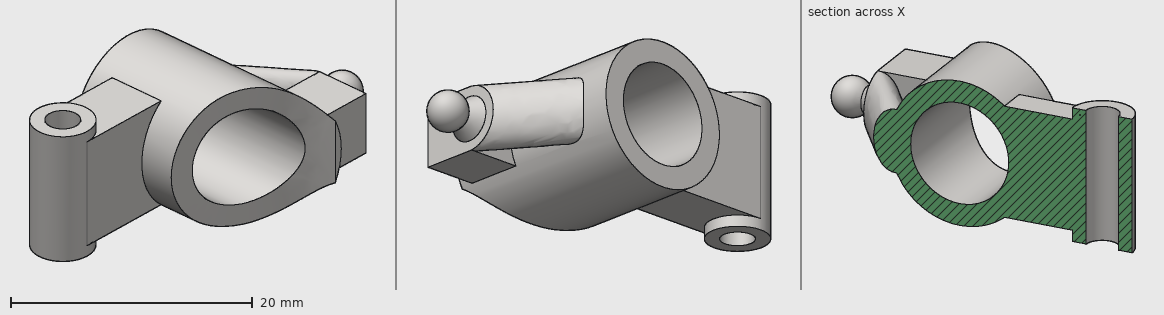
import cadquery as cq

overall_depth = 31

tube_length = 18.0
tube_diameter = 13.0
tube_radius = tube_diameter / 2
bore_radius = 4.5

end_cut_points = [
    (10.85, -tube_radius),
    (11.38, -4.5),
    (12.05, -2.23),
    (12.95, 0),
    (14.3, 2.6),
    (15.7, 4.4),
    (tube_length, 5.77),
]

hinge_x = 4.77
hinge_y = -13.15
barrel_radius = 2.75
barrel_height = 12.03
pin_hole_radius = 1.5
web_height = 10.0

seat_y = 10.88
ball_x = 11.78
block_start_x = 11.5
block_end_x = 16.75
block_height = 5.75
arm_radius = block_height / 2
arm_slope = 1.42
root_y = 4.95

ball_radius = 1.77
ball_y = overall_depth + hinge_y - barrel_radius - ball_radius
neck_base_radius = 1.98
neck_top_radius = 1.15
neck_length = 1.12


def circle_on_y(x, y, radius):
    """Circular wire centred at (x, y, 0), facing along Y."""
    return cq.Wire.makeCircle(radius, cq.Vector(x, y, 0), cq.Vector(0, 1, 0))


def upright_cylinder(radius, height):
    """Cylinder on the hinge axis, centred on z = 0."""
    return (
        cq.Workplane("XY", origin=(hinge_x, hinge_y, -height / 2))
        .circle(radius)
        .extrude(height)
    )


def make_arm():
    """Sheared cylinder rising from the tube wall to the seat of the ball stud."""
    root_x = ball_x - arm_slope * (seat_y - root_y)
    root = circle_on_y(root_x, root_y, arm_radius)
    seat = circle_on_y(ball_x, seat_y, arm_radius)
    return cq.Workplane(cq.Solid.makeLoft([root, seat], True))


def make_block():
    """Rectangular block between the tube wall and the seat."""
    length = block_end_x - block_start_x
    depth = seat_y - root_y
    center = ((block_start_x + block_end_x) / 2, root_y + depth / 2, 0)
    return cq.Workplane("XY").box(length, depth, block_height).translate(center)


def make_ball_stud():
    """Ball on a short conical neck."""
    neck = cq.Solid.makeCone(
        neck_base_radius,
        neck_top_radius,
        neck_length,
        cq.Vector(ball_x, seat_y, 0),
        cq.Vector(0, 1, 0),
    )
    ball = cq.Workplane("XY").sphere(ball_radius).translate((ball_x, ball_y, 0))
    return ball.union(cq.Workplane(neck))


def make_end_cutter():
    """Material removed beyond the curved end of the tube."""
    return (
        cq.Workplane("XY", origin=(0, 0, -tube_radius))
        .moveTo(*end_cut_points[0])
        .spline(end_cut_points[1:], includeCurrent=True)
        .lineTo(tube_length, -tube_radius)
        .close()
        .extrude(2 * tube_radius)
    )


tube = cq.Workplane("YZ").circle(tube_radius).extrude(tube_length)
bore = cq.Workplane("YZ").circle(bore_radius).extrude(tube_length)

web_length = -hinge_y
web = (
    cq.Workplane("XY")
    .box(2 * barrel_radius, web_length, web_height)
    .translate((hinge_x, hinge_y / 2, 0))
)

result = (
    tube.union(make_arm())
    .union(make_block())
    .union(make_ball_stud())
    .union(web)
    .union(upright_cylinder(barrel_radius, barrel_height))
    .cut(bore)
    .cut(make_end_cutter())
    .cut(upright_cylinder(pin_hole_radius, barrel_height))
)